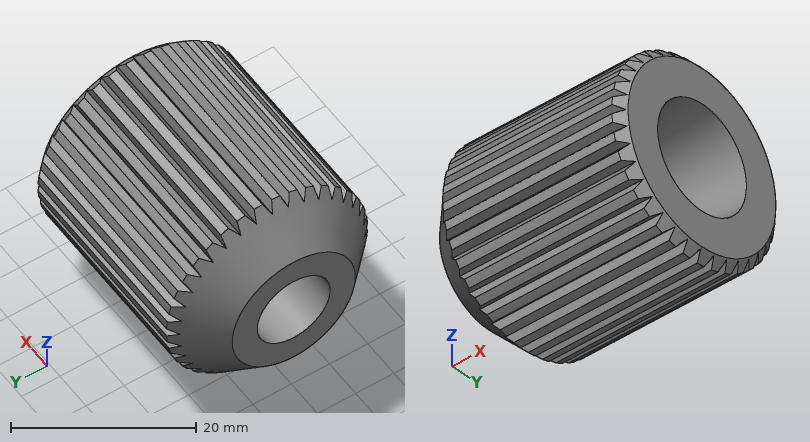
import cadquery as cq
import math

length = 30.93
outer_radius = 13.15

nose_bore_diameter = 9.53
rear_bore_diameter = 14.3

nose_chamfer = 5.1
rear_chamfer = 1.25

groove_count = 36
groove_depth = 1.05
groove_angle = 60.0


def body():
    """Solid of revolution with a long nose chamfer and a short rear chamfer."""
    return (
        cq.Workplane("XY")
        .moveTo(0, 0)
        .lineTo(0, outer_radius - nose_chamfer)
        .lineTo(nose_chamfer, outer_radius)
        .lineTo(length - rear_chamfer, outer_radius)
        .lineTo(length, outer_radius - rear_chamfer)
        .lineTo(length, 0)
        .close()
        .revolve(360, (0, 0, 0), (1, 0, 0))
    )


def bore():
    """Conical through hole along the axis."""
    return (
        cq.Workplane("XY")
        .moveTo(0, 0)
        .lineTo(0, nose_bore_diameter / 2)
        .lineTo(length, rear_bore_diameter / 2)
        .lineTo(length, 0)
        .close()
        .revolve(360, (0, 0, 0), (1, 0, 0))
    )


def grooves():
    """Full-length V cutters spaced evenly around the body, the first one facing +Z."""
    cutter_height = 2 * groove_depth
    half_width = cutter_height * math.tan(math.radians(groove_angle / 2))
    root_radius = outer_radius - groove_depth
    top_radius = root_radius + cutter_height
    cutter = (
        cq.Workplane("YZ")
        .moveTo(0, root_radius)
        .lineTo(half_width, top_radius)
        .lineTo(-half_width, top_radius)
        .close()
        .extrude(length)
        .val()
    )
    pitch = 360 / groove_count
    return [cutter.rotate((0, 0, 0), (1, 0, 0), i * pitch) for i in range(groove_count)]


grip = body().cut(bore())
result = cq.Workplane("XY").newObject([grip.val().cut(*grooves())])